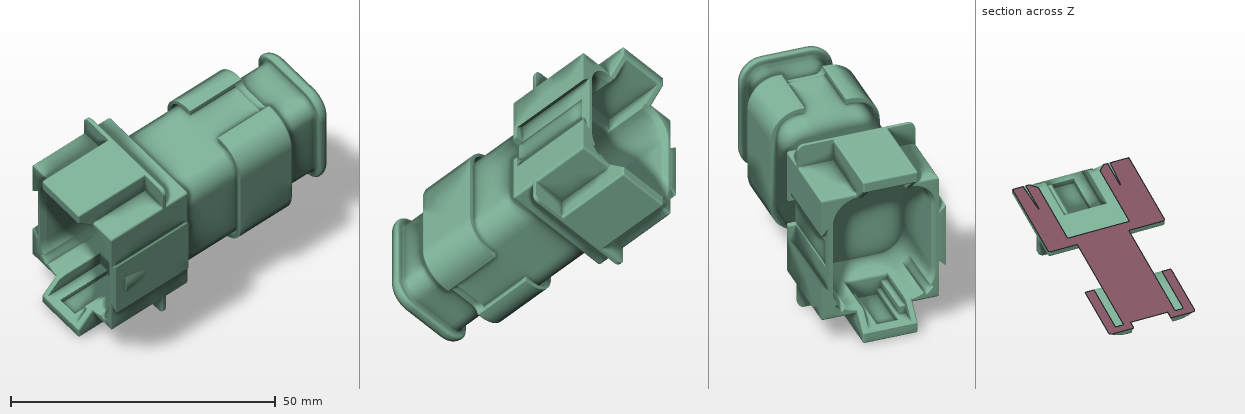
import cadquery as cq
import math


OVERLAP = 1.0

HOUSING_FRONT = 3.5
HOUSING_REAR = 22.2
FLANGE_FRONT = 16.0
FLANGE_REAR = 17.0
COLLAR_FRONT = 34.85
COLLAR_REAR = 47.5
COLLAR_GAP_REAR = 45.8
CAP_FRONT = 55.4
CAP_REAR = 58.0

TUBE = (9.85, 12.2, 5.0)
COLLAR = (11.03, 13.5, 6.0)
NECK = (7.88, 10.55, 3.4)
CAP = (9.47, 12.1, 4.9)
CAVITY = (9.95, 12.35, 5.0)

COLLAR_GAP_HALF = 4.17
COLLAR_GAP_FILLET = 1.55
COLLAR_GAP_FLOOR = 11.7
COLLAR_EDGE_RADIUS = 0.45
COLLAR_BORE_RADIUS = 3.4
NECK_FRONT_FLARE = 1.0
NECK_REAR_FLARE = 0.5
CAP_EDGE_RADIUS = 2.05
CAP_LIP_RADIUS = 0.5

HOUSING_LEFT = -12.7
HOUSING_RIGHT = 11.05
HOUSING_HALF_Z = 13.55
HOUSING_EDGE_RADIUS = 0.5
FLANGE_HALF_Z = 18.18
FLANGE_CORNER_RADIUS = 1.35
FLANGE_EDGE_RADIUS = 0.45

CAVITY_DEPTH_END = 19.8
LEAD_IN_WIDTH = 0.45
LEAD_IN_LENGTH = 1.3

KEY_WIDTH = 2.0
KEY_REACH = 5.8
KEY_MOUTH_REACH = 6.2
KEY_END = 14.4
KEY_RAMP_LENGTH = 1.0

LATCH_HALF_X = 5.56
LATCH_LIP_Z = 15.97
LATCH_EDGE_RADIUS = 0.38
CHANNEL_HALF_X = 4.33
CHANNEL_TOP_Z = 15.6
CHANNEL_END = 13.2
CHANNEL_END_RADIUS = 0.7
CHANNEL_EDGE_RADIUS = 0.3
RIB_WIDTH = 1.3
RIB_TOP_Z = -13.9
GROOVE_HALF_X = 2.2
GROOVE_DEPTH = 1.2
GROOVE_FRONT = 1.75

DOVETAIL_END = 21.0
SOCKET_DEPTH = 1.58
SOCKET_MOUTH_HALF_Z = 5.6
TOOTH_HEIGHT = 1.45
TOOTH_ROOT_HALF_Z = 5.35
SNAP_HALF_Z = 2.87
SNAP_FRONT = 5.45
SNAP_DEPTH = 0.3
BUMP_FRONT = 5.7
BUMP_REAR = 10.9
BUMP_HALF_Z = 2.2
BUMP_HEIGHT = 0.43


def box(x0, x1, y0, y1, z0, z1):
    """Axis-aligned block given by its limits."""
    return cq.Workplane("XY").box(x1 - x0, y1 - y0, z1 - z0, centered=False).translate((x0, y0, z0))


def rounded_prism(section, y0, y1):
    """Rounded rectangle centred on the axis, running from y0 to y1."""
    half_x, half_z, radius = section
    return box(-half_x, half_x, y0, y1, -half_z, half_z).edges("|Y").fillet(radius)


def mirrored_in_z(shape):
    """The shape together with its mirror image across Z = 0."""
    return shape.union(shape.mirror("XY"))


def make_rear_body():
    """Collar, neck and rounded rear cap, the neck flaring into both neighbours."""
    collar = rounded_prism(COLLAR, COLLAR_FRONT, COLLAR_REAR).faces(">Y").edges().fillet(COLLAR_EDGE_RADIUS)
    neck = rounded_prism(NECK, COLLAR_REAR, CAP_FRONT)
    cap = rounded_prism(CAP, CAP_FRONT, CAP_REAR).faces(">Y").edges().fillet(CAP_EDGE_RADIUS)
    cap = cap.faces("<Y").edges().fillet(CAP_LIP_RADIUS)
    body = collar.union(neck).union(cap)
    for joint_y, flare in ((COLLAR_REAR, NECK_FRONT_FLARE), (CAP_FRONT, NECK_REAR_FLARE)):
        top_edge = cq.selectors.NearestToPointSelector((0, joint_y, NECK[1]))
        body = body.edges(top_edge).fillet(flare)
    bore = rounded_prism((TUBE[0], TUBE[1], COLLAR_BORE_RADIUS), COLLAR_FRONT, COLLAR_GAP_REAR)
    body = body.cut(make_collar_gaps()).cut(bore)
    return body.union(rounded_prism(TUBE, HOUSING_REAR - OVERLAP, COLLAR_GAP_REAR))


def make_collar_gaps():
    """Top and bottom gaps in the collar, closed at the rear by a low filleted sill."""
    outer_z = COLLAR[1] + OVERLAP
    front = box(-COLLAR_GAP_HALF, COLLAR_GAP_HALF, COLLAR_FRONT, COLLAR_GAP_REAR, 0, outer_z)
    rear = box(-COLLAR_GAP_HALF, COLLAR_GAP_HALF, COLLAR_GAP_REAR, COLLAR_REAR, COLLAR_GAP_FLOOR, outer_z)
    rear = rear.edges("|Y and <Z").fillet(COLLAR_GAP_FILLET)
    return mirrored_in_z(front.union(rear))


def make_housing():
    """Front block with rounded long, rear and front top/bottom edges."""
    block = box(HOUSING_LEFT, HOUSING_RIGHT, HOUSING_FRONT, HOUSING_REAR, -HOUSING_HALF_Z, HOUSING_HALF_Z)
    return block.edges("|Y or >Y or (<Y and |X)").fillet(HOUSING_EDGE_RADIUS)


def make_flange():
    """Thin plate around the housing with rounded corners and a rounded rear rim."""
    plate = box(HOUSING_LEFT, HOUSING_RIGHT, FLANGE_FRONT, FLANGE_REAR, -FLANGE_HALF_Z, FLANGE_HALF_Z)
    plate = plate.edges("|Y").fillet(FLANGE_CORNER_RADIUS)
    return plate.faces(">Y").edges().fillet(FLANGE_EDGE_RADIUS)


def make_latch_covers():
    """Upper and lower covers with a 45 degree nose and rounded edges."""
    rear = (FLANGE_FRONT + FLANGE_REAR) / 2
    base_z = CAVITY[1] - OVERLAP
    nose_end = LATCH_LIP_Z - base_z
    outline = [
        (0, LATCH_LIP_Z),
        (0, FLANGE_HALF_Z),
        (rear, FLANGE_HALF_Z),
        (rear, base_z),
        (nose_end, base_z),
    ]
    cover = cq.Workplane("YZ").polyline(outline).close().extrude(LATCH_HALF_X, both=True)
    cover = cover.edges("<X or >X or (|X and >Z)").fillet(LATCH_EDGE_RADIUS)
    return mirrored_in_z(cover)


def make_cavity():
    """Rounded blind cavity joined to the latch channels, with a tapered lead-in at its mouth."""
    half_x, half_z, radius = CAVITY
    pocket = rounded_prism(CAVITY, 0, CAVITY_DEPTH_END).union(make_channels())
    for x in (-CHANNEL_HALF_X, CHANNEL_HALF_X):
        for z in (-half_z, half_z):
            corner = cq.selectors.NearestToPointSelector((x, CHANNEL_END / 2, z))
            pocket = pocket.edges("|Y").edges(corner).fillet(CHANNEL_EDGE_RADIUS)
    mouth = (
        cq.Workplane("ZX", origin=(0, HOUSING_FRONT, 0))
        .sketch()
        .rect(2 * (half_z + LEAD_IN_WIDTH), 2 * (half_x + LEAD_IN_WIDTH))
        .vertices().fillet(radius + LEAD_IN_WIDTH)
        .finalize()
        .extrude(LEAD_IN_LENGTH, taper=math.degrees(math.atan2(LEAD_IN_WIDTH, LEAD_IN_LENGTH)))
    )
    return pocket.union(mouth)


def make_key_slot(side):
    """Radial slot in a lower cavity corner, its floor a shallow cone about the corner axis.

    side is -1 or +1 and picks the corner along X.
    """
    outline = [
        (0, HOUSING_FRONT),
        (KEY_MOUTH_REACH, HOUSING_FRONT),
        (KEY_REACH, KEY_END - KEY_RAMP_LENGTH),
        (CAVITY[2], KEY_END),
        (0, KEY_END),
    ]
    turned = cq.Workplane("XY").polyline(outline).close().revolve(360, (0, 0), (0, 1))
    slot = turned.intersect(box(0, KEY_MOUTH_REACH, HOUSING_FRONT, KEY_END, -KEY_WIDTH / 2, KEY_WIDTH / 2))
    turn = 45 if side > 0 else 135
    corner_x = side * (CAVITY[0] - CAVITY[2])
    corner_z = CAVITY[2] - CAVITY[1]
    return slot.rotate((0, 0, 0), (0, 1, 0), turn).translate((corner_x, 0, corner_z))


def make_channels():
    """Latch channels under both covers, their rear step rounded into the cavity wall."""
    step_z = CAVITY[1]
    bend = CHANNEL_END_RADIUS * (1 - math.sqrt(0.5))
    channel = (
        cq.Workplane("YZ")
        .moveTo(0, 0)
        .lineTo(0, LATCH_LIP_Z)
        .lineTo(LATCH_LIP_Z - CHANNEL_TOP_Z, CHANNEL_TOP_Z)
        .lineTo(CHANNEL_END, CHANNEL_TOP_Z)
        .lineTo(CHANNEL_END, step_z + CHANNEL_END_RADIUS)
        .threePointArc((CHANNEL_END + bend, step_z + bend), (CHANNEL_END + CHANNEL_END_RADIUS, step_z))
        .lineTo(CHANNEL_END + CHANNEL_END_RADIUS, 0)
        .close()
        .extrude(CHANNEL_HALF_X, both=True)
    )
    return mirrored_in_z(channel)


def make_groove():
    """Shallow groove in the floor of the lower channel."""
    floor_z = -CHANNEL_TOP_Z
    return box(-GROOVE_HALF_X, GROOVE_HALF_X, GROOVE_FRONT, CHANNEL_END, floor_z - GROOVE_DEPTH, floor_z)


def make_channel_rib():
    """Rib along the +X wall of the lower channel."""
    return box(
        CHANNEL_HALF_X - RIB_WIDTH, CHANNEL_HALF_X,
        HOUSING_FRONT, CHANNEL_END,
        -CHANNEL_TOP_Z, RIB_TOP_Z,
    )


def dovetail(base_x, height, base_half_z):
    """Trapezoid prism that widens by 45 degrees from base_x towards +X."""
    tip_half_z = base_half_z + height
    outline = [
        (base_x, -base_half_z),
        (base_x + height, -tip_half_z),
        (base_x + height, tip_half_z),
        (base_x, base_half_z),
    ]
    plane = cq.Workplane("XZ", origin=(0, HOUSING_FRONT, 0))
    return plane.polyline(outline).close().extrude(HOUSING_FRONT - DOVETAIL_END)


def make_socket():
    """Dovetail socket with a deeper snap recess that runs out at the rear."""
    floor_x = HOUSING_LEFT + SOCKET_DEPTH
    socket = dovetail(HOUSING_LEFT, SOCKET_DEPTH, SOCKET_MOUTH_HALF_Z)
    recess = box(
        HOUSING_LEFT, floor_x + SNAP_DEPTH,
        SNAP_FRONT, HOUSING_REAR,
        -SNAP_HALF_Z, SNAP_HALF_Z,
    )
    return socket.union(recess)


def make_tooth():
    """Dovetail tooth with a ramped, arched snap bump on its outer face."""
    face_x = HOUSING_RIGHT + TOOTH_HEIGHT
    tooth = dovetail(HOUSING_RIGHT, TOOTH_HEIGHT, TOOTH_ROOT_HALF_Z)
    arch_radius = (BUMP_HALF_Z**2 + BUMP_HEIGHT**2) / (2 * BUMP_HEIGHT)
    slope = math.degrees(math.atan2(BUMP_HEIGHT, BUMP_REAR - BUMP_FRONT))
    arch = (
        cq.Workplane("XZ", origin=(face_x - arch_radius, BUMP_REAR, 0))
        .circle(arch_radius)
        .extrude(2 * (BUMP_REAR - BUMP_FRONT))
        .rotate((face_x, BUMP_REAR, 0), (face_x, BUMP_REAR, 1), slope)
    )
    limits = box(
        HOUSING_RIGHT, face_x + TOOTH_HEIGHT,
        BUMP_FRONT, BUMP_REAR,
        -BUMP_HALF_Z, BUMP_HALF_Z,
    )
    return tooth.union(arch.intersect(limits))


result = make_housing().union(make_flange()).union(make_latch_covers())
result = result.cut(make_socket()).union(make_tooth()).union(make_rear_body())
result = result.cut(make_cavity()).cut(make_groove())
for key_side in (-1, 1):
    result = result.cut(make_key_slot(key_side))
result = result.union(make_channel_rib())